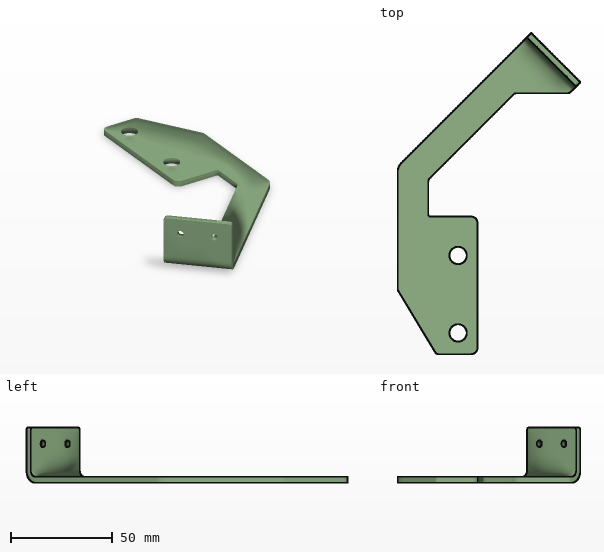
import cadquery as cq
import math

thickness = 3.048
inner_bend_radius = thickness
bend_depth = thickness + inner_bend_radius

overall_x = 90.03
overall_y = 158.08
overall_z = 27.3

pad_right = 39.4
pad_top = 67.8
taper_top = 31.65
taper_foot = 19.1
pad_hole_diameter = 8.43
pad_hole_x = 29.8
pad_hole_y = 10.5
pad_hole_pitch = 38.1

arm_width = 15.24
web_bottom = 128.4

flange_width = 34.25
flange_hole_diameter = 3.24
flange_hole_pitch = 17.1
flange_hole_z = 19.25
flange_corner_radius = 1.5

pad_corner_radius = 3.175
pad_inner_radius = 0.8
obtuse_corner_radius = 2.0
shoulder_radius = 6.35
taper_foot_radius = 1.5

diagonal = math.sqrt(0.5)
outer_right_x = overall_x
outer_right_y = overall_y - flange_width * diagonal
outer_left_x = overall_x - flange_width * diagonal
long_edge_offset = overall_y - outer_left_x
inner_edge_offset = long_edge_offset - arm_width / diagonal
flange_edge_offset = outer_right_y - outer_right_x
bend_step = bend_depth * diagonal

left_shoulder = (0, long_edge_offset)
arm_inner_corner = (arm_width, arm_width + inner_edge_offset)
web_inner_corner = (web_bottom - inner_edge_offset, web_bottom)
web_tip = (web_bottom - flange_edge_offset, web_bottom)
pad_inner_corner = (arm_width, pad_top)
pad_top_corner = (pad_right, pad_top)
pad_bottom_corner = (pad_right, 0)
taper_top_corner = (0, taper_top)
taper_foot_corner = (taper_foot, 0)

corner_radii = [
    (left_shoulder, shoulder_radius),
    (web_inner_corner, obtuse_corner_radius),
    (web_tip, obtuse_corner_radius),
    (arm_inner_corner, obtuse_corner_radius),
    (pad_inner_corner, pad_inner_radius),
    (pad_top_corner, pad_corner_radius),
    (pad_bottom_corner, pad_corner_radius),
    (taper_top_corner, obtuse_corner_radius),
    (taper_foot_corner, taper_foot_radius),
]


def make_plate():
    """Flat plate up to the start of the bend, with square corners."""
    outline = [
        left_shoulder,
        (outer_left_x - bend_step, overall_y - bend_step),
        (outer_right_x - bend_step, outer_right_y - bend_step),
        web_tip,
        web_inner_corner,
        arm_inner_corner,
        pad_inner_corner,
        pad_top_corner,
        pad_bottom_corner,
        taper_foot_corner,
        taper_top_corner,
    ]
    return cq.Workplane("XY").polyline(outline).close().extrude(thickness)


def flange_plane():
    """Plane on the flange's left edge: local x runs out along the arm, local y runs up.

    Its origin is on the underside, below the flange's outer face.
    """
    return cq.Plane(
        origin=(outer_left_x, overall_y, 0),
        xDir=(1, 1, 0),
        normal=(1, -1, 0),
    )


def make_flange():
    """Bend and upright wall, with rounded upper corners."""
    outer_mid = bend_depth * (1 - diagonal)
    inner_mid = bend_depth - inner_bend_radius * diagonal
    flange = (
        cq.Workplane(flange_plane())
        .moveTo(-bend_depth, 0)
        .threePointArc((-outer_mid, outer_mid), (0, bend_depth))
        .lineTo(0, overall_z)
        .lineTo(-thickness, overall_z)
        .lineTo(-thickness, bend_depth)
        .threePointArc((-inner_mid, inner_mid), (-bend_depth, thickness))
        .close()
        .extrude(flange_width)
    )
    across_sheet = cq.selectors.ParallelDirSelector(cq.Vector(1, 1, 0))
    return flange.faces(">Z").edges(across_sheet).fillet(flange_corner_radius)


def round_corners(body):
    """Round each listed plate corner with its own radius."""
    for (x, y), radius in corner_radii:
        corner = cq.selectors.NearestToPointSelector((x, y, thickness / 2))
        body = body.edges("|Z").edges(corner).fillet(radius)
    return body


def pad_holes():
    """Cutters for the two mounting holes, in line along Y."""
    return (
        cq.Workplane("XY")
        .pushPoints([(pad_hole_x, pad_hole_y + i * pad_hole_pitch) for i in range(2)])
        .circle(pad_hole_diameter / 2)
        .extrude(thickness)
    )


def flange_holes():
    """Cutters through the wall, placed evenly about the middle of the flange."""
    mid_x = (outer_left_x + outer_right_x) / 2
    mid_y = (overall_y + outer_right_y) / 2
    face = cq.Plane(origin=(mid_x, mid_y, flange_hole_z), xDir=(1, -1, 0), normal=(-1, -1, 0))
    return (
        cq.Workplane(face)
        .pushPoints([(side * flange_hole_pitch / 2, 0) for side in (-1, 1)])
        .circle(flange_hole_diameter / 2)
        .extrude(thickness)
    )


plate = round_corners(make_plate())
result = plate.union(make_flange()).cut(pad_holes()).cut(flange_holes())